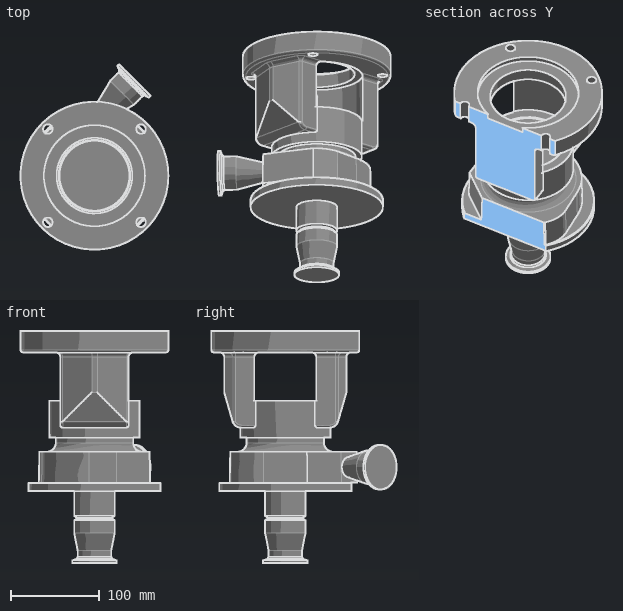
import cadquery as cq
import math


overall_height = 261.5
flange_thickness = 24.3
flange_bottom = overall_height - flange_thickness
leg_bottom = 152.5
ridge_bottom = 192.3
body_top = 182.9
body_bottom = 141.2
casing_top = 125.5
casing_height = 35.0
casing_bottom = casing_top - casing_height
plate_thickness = 9.5
plate_bottom = casing_bottom - plate_thickness
nozzle_z = casing_bottom + casing_height / 2

flange_radius = 83.5
flange_edge_fillet = 3.0
recess_radius = 57.0
recess_depth = 6.4
flange_bore_radius = 42.7
bolt_circle_radius = 74.2
bolt_hole_diameter = 10.5
bolt_hole_count = 4
first_bolt_angle = 45.0

leg_half_width = 38.6
ridge_half_width = 3.0
ridge_y = 69.0
hip_slope = 0.287
leg_bore_radius = 52.0
leg_bore_top = flange_bottom + 3.0
leg_edge_fillet = 3.0
leg_toe_fillet = 10.0
leg_root_fillet = 5.0

body_radius = 51.0
body_recess_rim_radius = 40.4
body_recess_floor_radius = 39.4
body_recess_depth = 1.0
neck_radius = 43.75
neck_fillet = 10.0
plate_radius = 74.7
plate_chamfer = 0.7

casing_half_width = 62.8
casing_draft = 1.0
flat_near_end = 6.4
flat_near_depth = 59.8
flat_far_end = 24.7
near_corner_reach = 61.2
far_corner_reach = 73.6
corner_diagonal = -45.0
half_arc_turn = -22.5

nozzle_angle = 45.0
nozzle_offset = 44.0
nozzle_reach = 108.4
throat_reach = 58.0
throat_half_width = 13.0
cone_root_reach = 50.0
cone_root_radius = 9.6
cone_end_reach = 88.0

pipe_radius = 19.05
ferrule_radius = 25.25
ferrule_rim = 2.85
ferrule_slope = 20.0
ferrule_neck_radius = 20.4
ferrule_height = 6.8

suction_radius = 23.0
suction_cone_bottom = 14.1
suction_cone_top = 34.0
groove_bottom = 48.1
groove_top = 53.1
groove_floor_radius = 20.0
groove_floor_half_height = 0.5


def disc(radius, bottom, top):
    return cq.Workplane("XY").workplane(offset=bottom).circle(radius).extrude(top - bottom)


def revolve_about_z(profile):
    return profile.close().revolve(360, (0, 0, 0), (0, 1, 0))


def ferrule_profile():
    """Half profile of a clamp ferrule, from its end face on the axis up to the pipe wall."""
    slope_rise = (ferrule_radius - ferrule_neck_radius) * math.tan(math.radians(ferrule_slope))
    return (
        cq.Workplane("XZ")
        .lineTo(ferrule_radius, 0)
        .lineTo(ferrule_radius, ferrule_rim)
        .lineTo(ferrule_neck_radius, ferrule_rim + slope_rise)
        .lineTo(pipe_radius, ferrule_height)
    )


def make_flange():
    flange = disc(flange_radius, flange_bottom, overall_height)
    return flange.faces("<Z").edges().fillet(flange_edge_fillet)


def make_leg():
    """Leg on the +Y side: a hipped-roof outer face with rounded edges."""
    hip_run = leg_half_width - ridge_half_width
    eave_y = ridge_y - hip_slope * hip_run
    toe_y = ridge_y - hip_slope * (ridge_bottom - leg_bottom)
    leg_top = flange_bottom + flange_thickness / 2
    plan = (
        cq.Workplane("XY")
        .workplane(offset=leg_bottom)
        .moveTo(-leg_half_width, 0)
        .lineTo(-leg_half_width, eave_y)
        .lineTo(-ridge_half_width, ridge_y)
        .lineTo(ridge_half_width, ridge_y)
        .lineTo(leg_half_width, eave_y)
        .lineTo(leg_half_width, 0)
        .close()
        .extrude(leg_top - leg_bottom)
    )
    side = (
        cq.Workplane("YZ")
        .moveTo(0, leg_bottom)
        .lineTo(toe_y, leg_bottom)
        .lineTo(ridge_y, ridge_bottom)
        .lineTo(ridge_y, leg_top)
        .lineTo(0, leg_top)
        .close()
        .extrude(leg_half_width, both=True)
    )
    leg = plan.intersect(side)
    leg = leg.faces("<Z").edges(">Y").fillet(leg_toe_fillet)
    return leg.faces("<X or >X").edges("not(<Y or >Z)").fillet(leg_edge_fillet)


def join_legs(flange):
    """Fuse both legs to the flange, round their roots and bore the space between them."""
    leg = make_leg()
    frame = flange.union(leg).union(leg.mirror("XZ"))
    margin = 1.0
    roots = cq.selectors.BoxSelector(
        (-leg_half_width - margin, -ridge_y - margin, flange_bottom - margin),
        (leg_half_width + margin, ridge_y + margin, flange_bottom + margin),
    )
    frame = frame.edges(roots).fillet(leg_root_fillet)
    return frame.cut(disc(leg_bore_radius, body_top, leg_bore_top))


def cut_flange_openings(frame):
    frame = frame.cut(disc(recess_radius, overall_height - recess_depth, overall_height))
    frame = frame.cut(disc(flange_bore_radius, flange_bottom, overall_height))
    holes = (
        cq.Workplane("XY")
        .workplane(offset=flange_bottom)
        .polarArray(bolt_circle_radius, first_bolt_angle, 360, bolt_hole_count)
        .circle(bolt_hole_diameter / 2)
        .extrude(flange_thickness)
    )
    return frame.cut(holes)


def make_body():
    """Bearing body and the neck that flares into the casing."""
    flare_top = casing_top + neck_fillet
    flare_radius = neck_radius + neck_fillet
    flare_mid = neck_fillet * (1 - math.sqrt(0.5))
    return revolve_about_z(
        cq.Workplane("XZ")
        .moveTo(0, casing_top)
        .lineTo(flare_radius, casing_top)
        .threePointArc((neck_radius + flare_mid, casing_top + flare_mid), (neck_radius, flare_top))
        .lineTo(neck_radius, body_bottom)
        .lineTo(body_radius, body_bottom)
        .lineTo(body_radius, body_top)
        .lineTo(0, body_top)
    )


def make_body_recess():
    """Shallow recess with a sloping wall in the top of the bearing body."""
    recess_floor = body_top - body_recess_depth
    return revolve_about_z(
        cq.Workplane("XZ")
        .moveTo(0, recess_floor)
        .lineTo(body_recess_floor_radius, recess_floor)
        .lineTo(body_recess_rim_radius, body_top)
        .lineTo(0, body_top)
    )


def nozzle_point(along, across):
    """XY point from distances along the nozzle direction and to the left of it."""
    angle = math.radians(nozzle_angle)
    return (
        along * math.cos(angle) - across * math.sin(angle),
        along * math.sin(angle) + across * math.cos(angle),
    )


def far_corner_point(turn):
    """XY point on the +X -Y corner arc, turned about the arc center from the corner's diagonal."""
    chord_square = far_corner_reach**2 - casing_half_width**2 - flat_far_end**2
    chord_excess = math.sqrt(2) * far_corner_reach - casing_half_width - flat_far_end
    center = chord_square / (2 * chord_excess)
    radius = far_corner_reach - math.sqrt(2) * center
    angle = math.radians(corner_diagonal + turn)
    return center + radius * math.cos(angle), -center + radius * math.sin(angle)


def make_casing():
    """Volute: a rounded square that spirals outward into a tangential discharge throat."""
    half = casing_half_width
    near_mid = near_corner_reach * math.sqrt(0.5)
    corner_x, corner_y = far_corner_point(0)
    quarter_x, quarter_y = far_corner_point(half_arc_turn)
    outline = (
        cq.Workplane("XY")
        .workplane(offset=casing_bottom)
        .moveTo(-flat_near_end, -flat_near_depth)
        .lineTo(flat_far_end, -half)
        .threePointArc((corner_x, corner_y), (half, -flat_far_end))
        .lineTo(half, flat_far_end)
        .lineTo(*nozzle_point(throat_reach, nozzle_offset - throat_half_width))
        .lineTo(*nozzle_point(throat_reach, nozzle_offset + throat_half_width))
        .lineTo(corner_y, corner_x)
        .threePointArc((quarter_y, quarter_x), (-half, flat_far_end))
        .lineTo(-flat_near_depth, -flat_near_end)
        .threePointArc((-near_mid, -near_mid), (-flat_near_end, -flat_near_depth))
        .close()
    )
    return outline.extrude(casing_height, taper=casing_draft)


def make_back_plate():
    plate = disc(plate_radius, plate_bottom, casing_bottom)
    return plate.faces(">Z").edges().chamfer(plate_chamfer)


def make_nozzle():
    """Discharge nozzle: built upright from its ferrule, then laid along its direction."""
    nozzle = revolve_about_z(
        ferrule_profile()
        .lineTo(pipe_radius, nozzle_reach - cone_end_reach)
        .lineTo(cone_root_radius, nozzle_reach - cone_root_reach)
        .lineTo(0, nozzle_reach - cone_root_reach)
    )
    end_x, end_y = nozzle_point(nozzle_reach, nozzle_offset)
    return (
        nozzle.rotate((0, 0, 0), (0, 1, 0), -90)
        .rotate((0, 0, 0), (0, 0, 1), nozzle_angle)
        .translate((end_x, end_y, nozzle_z))
    )


def make_suction_pipe():
    groove_middle = (groove_bottom + groove_top) / 2
    return revolve_about_z(
        ferrule_profile()
        .lineTo(pipe_radius, suction_cone_bottom)
        .lineTo(suction_radius, suction_cone_top)
        .lineTo(suction_radius, groove_bottom)
        .lineTo(groove_floor_radius, groove_middle - groove_floor_half_height)
        .lineTo(groove_floor_radius, groove_middle + groove_floor_half_height)
        .lineTo(suction_radius, groove_top)
        .lineTo(suction_radius, plate_bottom)
        .lineTo(0, plate_bottom)
    )


frame = cut_flange_openings(join_legs(make_flange()))
pump = make_casing().union(make_nozzle()).union(make_back_plate()).union(make_suction_pipe())
result = pump.union(make_body()).union(frame).cut(make_body_recess())